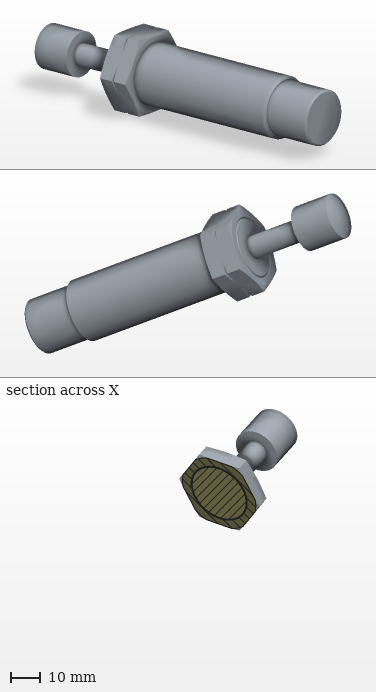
import cadquery as cq
import math

TOTAL_LENGTH = 122.5

CAP_RADIUS = 16.0 / 2
CAP_END_X = 16.0
DOME_HEIGHT = 2.1
ROD_RADIUS = 8.0 / 2

BARREL_RADIUS = 22.0 / 2
BARREL_START_X = 36.4
BARREL_END_X = 105.5
BARREL_CHAMFER = 0.9
SEAT_RADIUS = 21.2 / 2
SEAT_FACE_RADIUS = 20.3 / 2
TAIL_RADIUS = 19.6 / 2
TAIL_CHAMFER = 0.6

NUT_COUNT = 2
NUT_WIDTH = 27.0
NUT_THICKNESS = 6.0
NUT_CHAMFER_ANGLE = 15.0
NUT_COUNTERSINK = BARREL_RADIUS - SEAT_RADIUS


def make_absorber():
    """Barrel, rod and domed cap revolved as one body."""
    seat_end_x = BARREL_START_X + NUT_COUNT * NUT_THICKNESS
    seat_chamfer = SEAT_RADIUS - SEAT_FACE_RADIUS
    dome_radius = (CAP_RADIUS**2 + DOME_HEIGHT**2) / (2 * DOME_HEIGHT)
    half_angle = math.asin(CAP_RADIUS / dome_radius) / 2
    dome_middle = (
        dome_radius * (1 - math.cos(half_angle)),
        dome_radius * math.sin(half_angle),
    )
    return (
        cq.Workplane("XY")
        .moveTo(0, 0)
        .threePointArc(dome_middle, (DOME_HEIGHT, CAP_RADIUS))
        .lineTo(CAP_END_X, CAP_RADIUS)
        .lineTo(CAP_END_X, ROD_RADIUS)
        .lineTo(BARREL_START_X, ROD_RADIUS)
        .lineTo(BARREL_START_X, SEAT_FACE_RADIUS)
        .lineTo(BARREL_START_X + seat_chamfer, SEAT_RADIUS)
        .lineTo(seat_end_x, SEAT_RADIUS)
        .lineTo(seat_end_x, BARREL_RADIUS)
        .lineTo(BARREL_END_X - BARREL_CHAMFER, BARREL_RADIUS)
        .lineTo(BARREL_END_X, BARREL_RADIUS - BARREL_CHAMFER)
        .lineTo(BARREL_END_X, TAIL_RADIUS)
        .lineTo(TOTAL_LENGTH - TAIL_CHAMFER, TAIL_RADIUS)
        .lineTo(TOTAL_LENGTH, TAIL_RADIUS - TAIL_CHAMFER)
        .lineTo(TOTAL_LENGTH, 0)
        .close()
        .revolve(360, (0, 0, 0), (1, 0, 0))
    )


def make_nut(start_x):
    """Hexagonal nut with conically chamfered corners and a countersunk bore that fits the barrel seat."""
    corner_radius = NUT_WIDTH / math.sqrt(3)
    flat_radius = NUT_WIDTH / 2
    chamfer_depth = (corner_radius - flat_radius) * math.tan(math.radians(NUT_CHAMFER_ANGLE))
    end_x = start_x + NUT_THICKNESS
    hexagon = (
        cq.Workplane("YZ", origin=(start_x, 0, 0))
        .polygon(6, 2 * corner_radius)
        .extrude(NUT_THICKNESS)
    )
    chamfered_ring = (
        cq.Workplane("XY")
        .moveTo(start_x, BARREL_RADIUS)
        .lineTo(start_x, flat_radius)
        .lineTo(start_x + chamfer_depth, corner_radius)
        .lineTo(end_x - chamfer_depth, corner_radius)
        .lineTo(end_x, flat_radius)
        .lineTo(end_x, BARREL_RADIUS)
        .lineTo(end_x - NUT_COUNTERSINK, SEAT_RADIUS)
        .lineTo(start_x + NUT_COUNTERSINK, SEAT_RADIUS)
        .close()
        .revolve(360, (0, 0, 0), (1, 0, 0))
    )
    return hexagon.intersect(chamfered_ring)


absorber = make_absorber()
nuts = [make_nut(BARREL_START_X + i * NUT_THICKNESS) for i in range(NUT_COUNT)]

result = cq.Compound.makeCompound([absorber.val(), *[nut.val() for nut in nuts]])